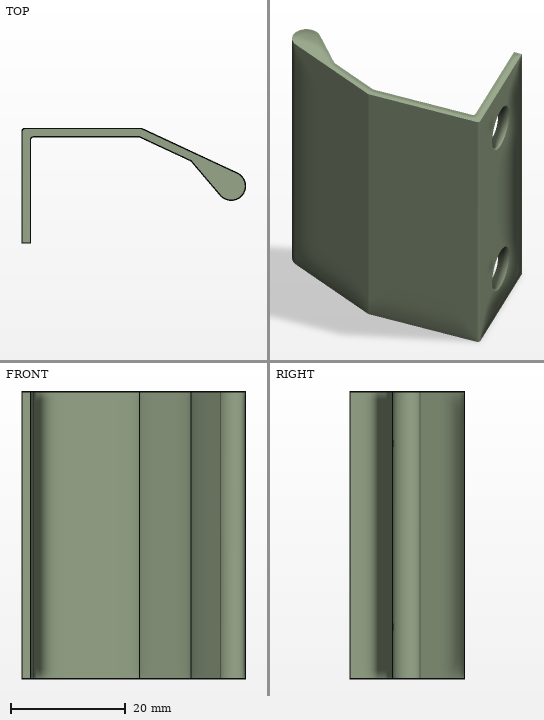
import cadquery as cq
import math

overall_length = 38.94
overall_depth = 20.0
height = 50.0

wall = 1.5
corner_radius = 0.5

bend_x = 20.83
bend_angle = math.radians(25.0)
bead_radius = 2.5
flare_start_x = 29.45

hole_diameter = 5.0
countersink_diameter = 8.0
hole_setback = 10.0
hole_end_distance = 9.0


def bead_center():
    """Centre of the bead, which is tangent to the outer face of the wing."""
    x = overall_length - bead_radius
    y = -(x - bend_x) * math.tan(bend_angle) - bead_radius / math.cos(bend_angle)
    return x, y


def bead_point(direction):
    """Point on the bead's circle in the given direction from its centre."""
    x, y = bead_center()
    return x + bead_radius * math.cos(direction), y + bead_radius * math.sin(direction)


def make_profile():
    """Extruded section: flange, back plate, wing and bead, outer corner at the origin."""
    inner_bend_x = bend_x - wall * math.tan(bend_angle / 2)
    flare_start_y = -wall - (flare_start_x - inner_bend_x) * math.tan(bend_angle)

    center_x, center_y = bead_center()
    run = flare_start_x - center_x
    rise = flare_start_y - center_y
    toward_flare = math.atan2(rise, run)
    half_spread = math.acos(bead_radius / math.hypot(run, rise))

    outer_tangent = bead_point(math.pi / 2 - bend_angle)
    bead_tip = bead_point(0)
    flare_tangent = bead_point(toward_flare + half_spread)

    return (
        cq.Workplane("XY")
        .moveTo(0, -overall_depth)
        .lineTo(0, 0)
        .lineTo(bend_x, 0)
        .lineTo(*outer_tangent)
        .threePointArc(bead_tip, flare_tangent)
        .lineTo(flare_start_x, flare_start_y)
        .lineTo(inner_bend_x, -wall)
        .lineTo(wall, -wall)
        .lineTo(wall, -overall_depth)
        .close()
        .extrude(height)
    )


def round_corner(body):
    """Round the outer and inner vertical edges where the flange meets the back plate."""
    for edge_x, edge_y in ((0, 0), (wall, -wall)):
        edge = cq.selectors.NearestToPointSelector((edge_x, edge_y, height / 2))
        body = body.edges("|Z").edges(edge).fillet(corner_radius)
    return body


def screw_hole(z):
    """Cone that narrows from the outer face of the flange to its inner face."""
    axis_start = cq.Vector(0, -hole_setback, z)
    cone = cq.Solid.makeCone(
        countersink_diameter / 2, hole_diameter / 2, wall, axis_start, cq.Vector(1, 0, 0)
    )
    return cq.Workplane(cone)


result = round_corner(make_profile())
for hole_z in (hole_end_distance, height - hole_end_distance):
    result = result.cut(screw_hole(hole_z))